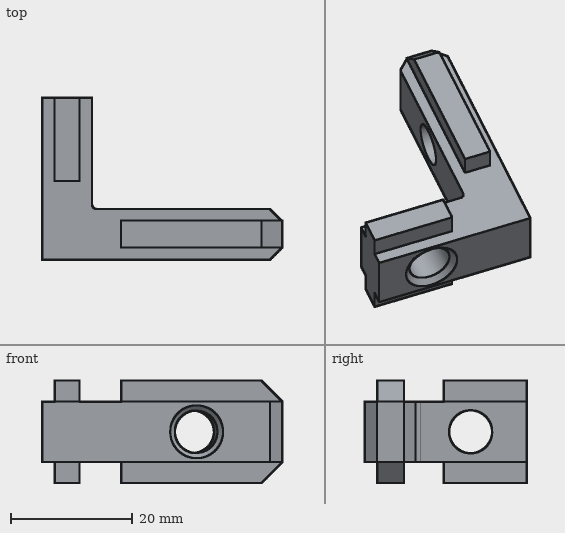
import cadquery as cq
import math

length_x = 39.7
length_y = 26.8
body_height = 10.0
long_leg_width = 8.4
short_leg_width = 8.25
inner_corner_radius = 0.8
tip_chamfer = 2.05

overall_height = 17.0
rail_height = (overall_height - body_height) / 2
rail_start = 13.05
rail_inset = 2.05
long_rail_width = 4.45
short_rail_width = 4.13

long_leg_hole_x = 25.53
long_leg_hole_diameter = 7.0
long_leg_sink_diameter = 8.75
long_leg_hole_tilt = 4.5
short_leg_hole_y = 17.5
short_leg_hole_diameter = 7.05
short_leg_sink_diameter = 9.05


def make_body():
    block = (
        cq.Workplane("XY")
        .polyline([
            (0, 0),
            (length_x, 0),
            (length_x, long_leg_width),
            (short_leg_width, long_leg_width),
            (short_leg_width, length_y),
            (0, length_y),
        ])
        .close()
        .extrude(body_height / 2, both=True)
    )
    block = block.edges("|Z and >X").chamfer(tip_chamfer)
    inner_corner = cq.selectors.NearestToPointSelector((short_leg_width, long_leg_width, 0))
    return block.edges("|Z").edges(inner_corner).fillet(inner_corner_radius)


def make_long_rails():
    """Rails of the long leg, spanning the body height, with 45 degree ends."""
    return (
        cq.Workplane("XY")
        .box(length_x - rail_start, long_rail_width, overall_height, centered=(False, False, True))
        .edges("|Y and >X")
        .chamfer(rail_height)
        .translate((rail_start, rail_inset, 0))
    )


def make_short_rails():
    """Rails of the short leg, spanning the body height, with square ends."""
    return (
        cq.Workplane("XY")
        .box(short_rail_width, length_y - rail_start, overall_height, centered=(False, False, True))
        .translate((rail_inset, rail_start, 0))
    )


def make_hole(diameter, sink_diameter, leg_width, mouth, inward, bore_direction):
    """Bore along bore_direction, with a 45 degree countersink square to the outer face."""
    overshoot = leg_width / 4
    sink_radius = sink_diameter / 2
    bore_start = mouth - bore_direction * overshoot
    bore = cq.Solid.makeCylinder(diameter / 2, leg_width + 2 * overshoot, bore_start, bore_direction)
    countersink = cq.Solid.makeCone(sink_radius, 0, sink_radius, mouth, inward)
    return cq.Workplane(bore).union(cq.Workplane(countersink))


tilt = math.radians(long_leg_hole_tilt)
long_leg_hole = make_hole(
    long_leg_hole_diameter,
    long_leg_sink_diameter,
    long_leg_width,
    cq.Vector(long_leg_hole_x, 0, 0),
    cq.Vector(0, 1, 0),
    cq.Vector(-math.sin(tilt), math.cos(tilt), 0),
)
short_leg_hole = make_hole(
    short_leg_hole_diameter,
    short_leg_sink_diameter,
    short_leg_width,
    cq.Vector(0, short_leg_hole_y, 0),
    cq.Vector(1, 0, 0),
    cq.Vector(1, 0, 0),
)

result = (
    make_body()
    .union(make_long_rails())
    .union(make_short_rails())
    .cut(long_leg_hole)
    .cut(short_leg_hole)
)